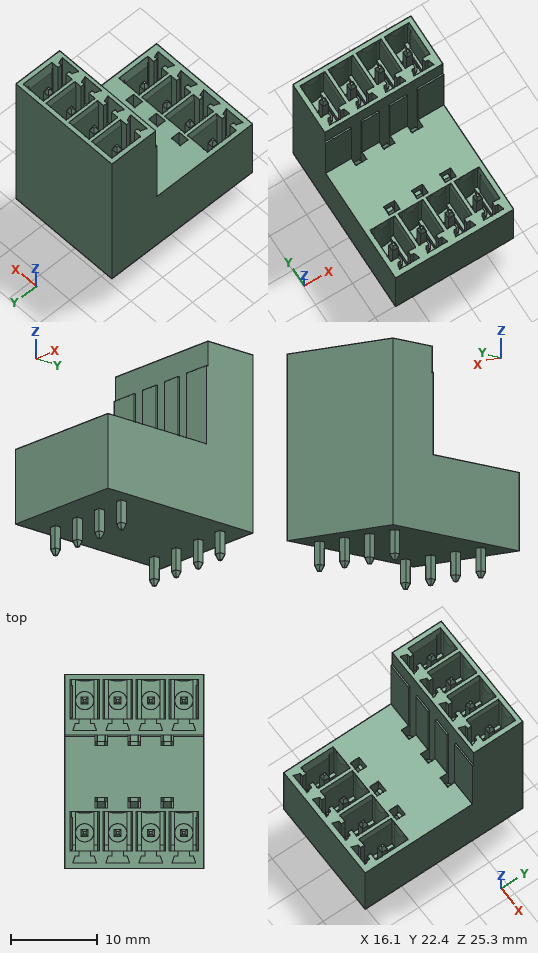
import cadquery as cq

width = 16.05
depth = 22.4
tall_height = 21.85
low_height = 9.18
tall_face_y = 4.23
pad_thickness = 0.2
pad_top_z = 18.82
groove_width = 1.45

pins_per_row = 4
row_spacing = 15.23
pitches_between_rows = 4
pitch = row_spacing / pitches_between_rows
rows_offset_y = 0.55
pin_width = 0.8
pin_tip_width = 0.3
pin_tip_length = 0.7
pin_below_housing = 3.45
pin_top_depth = 1.45

cavity_mouth_width = 3.36
cavity_taper_run = 0.18
cavity_taper_drop = 0.85
cavity_back = 2.43
cavity_front = 2.13
channel_width = 2.13
channel_depth = 7.08
shelf_depth = 6.07
step_length = 0.7
step_drop = 0.25
seat_diameter = 2.1
seat_depth = 0.25
bulge_rise = 0.18
bulge_slope_drop = 1.26
end_rib_length = 3.7
end_rib_thickness = 0.1
end_rib_offset_y = -0.1

slot_neck_width = 1.32
slot_neck_length = 0.53
slot_inner_width = 2.18
slot_outer_width = 2.73
slot_flare_length = 0.8
slot_depth = 5.05

pocket_width = 1.47
pocket_length = 1.21
pocket_depth = 3.55
stop_depth = 1.26
stop_length = 0.45
stop_width = 0.8
ramp_base_width = 1.0
ramp_drop = 1.15

cavity_floor_width = cavity_mouth_width - 2 * cavity_taper_run
pin_xs = [(i - (pins_per_row - 1) / 2) * pitch for i in range(pins_per_row)]
gap_xs = [(a + b) / 2 for a, b in zip(pin_xs, pin_xs[1:])]
rows = [
    (rows_offset_y - row_spacing / 2, low_height),
    (rows_offset_y + row_spacing / 2, tall_height),
]


def centred_block(x, x_size, y_min, y_max, z_min, z_max):
    """Block centred on x, between the given Y and Z limits."""
    size = (x_size, y_max - y_min, z_max - z_min)
    corner = (x - x_size / 2, y_min, z_min)
    return cq.Workplane("XY").box(*size, centered=False).translate(corner)


def frustum(x, y, z, size, end_size, length):
    """Square taper from z to z + length."""
    return (
        cq.Workplane("XY", origin=(x, y, z))
        .rect(size, size)
        .workplane(offset=length)
        .rect(end_size, end_size)
        .loft(ruled=True)
    )


def housing_shell():
    outline = [
        (-depth / 2, 0),
        (depth / 2, 0),
        (depth / 2, tall_height),
        (tall_face_y, tall_height),
        (tall_face_y, low_height),
        (-depth / 2, low_height),
    ]
    shell = cq.Workplane("YZ").polyline(outline).close().extrude(width / 2, both=True)
    pad_face_y = tall_face_y - pad_thickness
    pads = centred_block(0, width, pad_face_y, tall_face_y, low_height, pad_top_z)
    for x in gap_xs:
        pads = pads.cut(centred_block(x, groove_width, pad_face_y, tall_face_y, low_height, pad_top_z))
    return shell.union(pads)


def back_bulge(x, y_back, mouth_z):
    """Convex back wall over the channel, sloped back to the flat wall at the mouth."""
    half = channel_width / 2
    floor_z = mouth_z - channel_depth
    bulge = (
        cq.Workplane("XY", origin=(x, y_back, floor_z))
        .moveTo(-half, 0)
        .threePointArc((0, -bulge_rise), (half, 0))
        .close()
        .extrude(channel_depth)
    )
    slope = (
        cq.Workplane("YZ", origin=(x, 0, 0))
        .polyline([
            (y_back, mouth_z),
            (y_back - bulge_rise, mouth_z - bulge_slope_drop),
            (y_back - bulge_rise, mouth_z),
        ])
        .close()
        .extrude(half, both=True)
    )
    return bulge.cut(slope)


def end_rib(x, side, y, mouth_z):
    """Thin rib on one side wall of the cavity; its top carries on the wall's taper."""
    wall = x + side * cavity_floor_width / 2
    rib_face = wall - side * end_rib_thickness
    taper_z = mouth_z - cavity_taper_drop
    rib_top_z = taper_z - end_rib_thickness * cavity_taper_drop / cavity_taper_run
    shelf_z = mouth_z - shelf_depth
    return (
        cq.Workplane("XZ", origin=(0, y + end_rib_offset_y, 0))
        .polyline([(wall, shelf_z), (wall, taper_z), (rib_face, rib_top_z), (rib_face, shelf_z)])
        .close()
        .extrude(end_rib_length / 2, both=True)
    )


def coding_slot(x, y_front, mouth_z):
    neck = slot_neck_width / 2
    flare_y = y_front - slot_neck_length
    end_y = flare_y - slot_flare_length
    return (
        cq.Workplane("XY", origin=(x, 0, mouth_z - slot_depth))
        .polyline([
            (-neck, y_front),
            (-neck, flare_y),
            (-slot_inner_width / 2, flare_y),
            (-slot_outer_width / 2, end_y),
            (slot_outer_width / 2, end_y),
            (slot_inner_width / 2, flare_y),
            (neck, flare_y),
            (neck, y_front),
        ])
        .close()
        .extrude(slot_depth)
    )


def cavity(x, y, mouth_z):
    y_front = y - cavity_front
    y_back = y + cavity_back
    half_mouth = cavity_mouth_width / 2
    half_floor = cavity_floor_width / 2
    taper_z = mouth_z - cavity_taper_drop
    shelf_z = mouth_z - shelf_depth
    section = [
        (x - half_mouth, mouth_z),
        (x + half_mouth, mouth_z),
        (x + half_floor, taper_z),
        (x + half_floor, shelf_z),
        (x - half_floor, shelf_z),
        (x - half_floor, taper_z),
    ]
    length = cavity_back + cavity_front
    upper = cq.Workplane("XZ", origin=(0, y_back, 0)).polyline(section).close().extrude(length)
    channel = centred_block(x, channel_width, y_front, y_back, mouth_z - channel_depth, shelf_z)
    seat = (
        cq.Workplane("XY", origin=(x, y, mouth_z - channel_depth - seat_depth))
        .circle(seat_diameter / 2)
        .extrude(seat_depth)
    )
    space = upper.union(channel).union(seat)
    space = space.cut(back_bulge(x, y_back, mouth_z))
    if mouth_z == low_height:
        step = centred_block(
            x, cavity_floor_width, y_front, y_front + step_length, shelf_z - step_drop, shelf_z
        )
        space = space.union(step)
    if x == pin_xs[0]:
        space = space.cut(end_rib(x, -1, y, mouth_z))
    if x == pin_xs[-1]:
        space = space.cut(end_rib(x, 1, y, mouth_z))
    return space.union(coding_slot(x, y_front, mouth_z))


def tapered_bar(x, y_back, length, base_width, top_width, base_z, top_z):
    """Bar along Y, ending at y_back, with a trapezoid section that narrows upwards."""
    return (
        cq.Workplane("XZ", origin=(x, y_back, 0))
        .polyline([
            (-base_width / 2, base_z),
            (-top_width / 2, top_z),
            (top_width / 2, top_z),
            (base_width / 2, base_z),
        ])
        .close()
        .extrude(length)
    )


def latch_pocket(x, outward):
    """Pocket with a stop and a ramp; outward is the Y direction away from mid-depth."""
    near = outward * (tall_face_y - pocket_length)
    far = outward * tall_face_y
    ramp_start = near + outward * stop_length
    floor_z = low_height - pocket_depth
    stop_z = low_height - stop_depth
    space = centred_block(x, pocket_width, min(near, far), max(near, far), floor_z, low_height)
    stop = tapered_bar(x, max(near, ramp_start), stop_length, pocket_width, stop_width, floor_z, stop_z)
    ramp = (
        cq.Workplane("YZ", origin=(x, 0, 0))
        .polyline([
            (ramp_start, floor_z),
            (ramp_start, stop_z),
            (far, stop_z - ramp_drop),
            (far, floor_z),
        ])
        .close()
        .extrude(ramp_base_width / 2, both=True)
    )
    ramp_sides = tapered_bar(
        x, max(ramp_start, far), pocket_length - stop_length, ramp_base_width, stop_width, floor_z, stop_z
    )
    return space.cut(stop).cut(ramp.intersect(ramp_sides))


def pin(x, y, mouth_z):
    bottom = -pin_below_housing
    top = mouth_z - pin_top_depth
    shank = centred_block(
        x, pin_width, y - pin_width / 2, y + pin_width / 2, bottom + pin_tip_length, top - pin_tip_length
    )
    upper_tip = frustum(x, y, top - pin_tip_length, pin_width, pin_tip_width, pin_tip_length)
    lower_tip = frustum(x, y, bottom, pin_tip_width, pin_width, pin_tip_length)
    return shank.union(upper_tip).union(lower_tip)


housing = housing_shell()
for x in gap_xs:
    for outward in (1, -1):
        housing = housing.cut(latch_pocket(x, outward))

pins = []
for y, mouth_z in rows:
    for x in pin_xs:
        contact = pin(x, y, mouth_z)
        housing = housing.cut(cavity(x, y, mouth_z)).cut(contact)
        pins.append(contact.val())

result = cq.Compound.makeCompound([housing.val(), *pins])